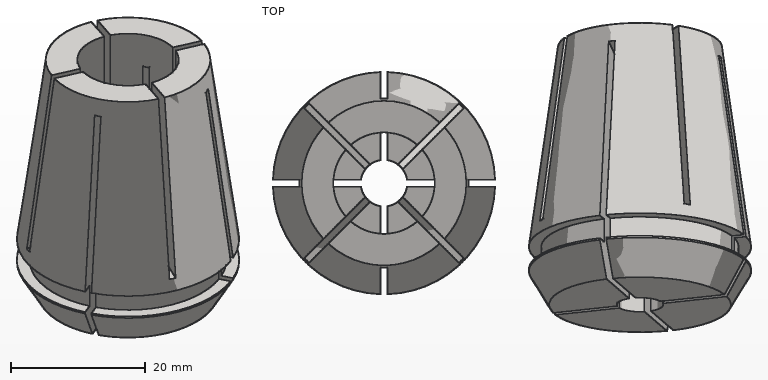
import cadquery as cq
import math

total_height = 40.0
top_radius = 12.2
max_radius = 33.0 / 2
body_bottom = 9.0
groove_radius = 14.65
groove_bottom = 5.5
rim_bottom = 5.2
nose_radius = 13.5

bore_radius = 3.45
relief_radius = 7.5
relief_bottom = 20.0

slot_width = 1.0
slots_per_side = 4
blade_radius = 20.0
lower_slot_end = 37.3
lower_blade_offset = 19.6
upper_slot_end = 11.0
upper_blade_offset = 19.2


def body_radius_at(height):
    """Radius of the tapered body at a given height."""
    share = (height - body_bottom) / (total_height - body_bottom)
    return max_radius + share * (top_radius - max_radius)


def make_body():
    """Turned collet body with its stepped bore."""
    return (
        cq.Workplane("XZ")
        .moveTo(bore_radius, 0)
        .lineTo(nose_radius, 0)
        .lineTo(max_radius, rim_bottom)
        .lineTo(max_radius, groove_bottom)
        .lineTo(groove_radius, groove_bottom)
        .lineTo(groove_radius, body_bottom)
        .lineTo(max_radius, body_bottom)
        .lineTo(top_radius, total_height)
        .lineTo(relief_radius, total_height)
        .lineTo(relief_radius, relief_bottom)
        .lineTo(bore_radius, relief_bottom)
        .close()
        .revolve(360, (0, 0, 0), (0, 1, 0))
    )


def make_slot(end_height, open_height, blade_offset):
    """Radial slot along +X, from open_height to a blade arc meeting the taper at end_height."""
    toward_end = math.copysign(1, end_height - open_height)

    def blade_rise(radius):
        return math.sqrt(blade_radius**2 - (blade_offset - radius) ** 2)

    blade_height = end_height - toward_end * blade_rise(body_radius_at(end_height))

    def arc_point(radius):
        return (radius, blade_height + toward_end * blade_rise(radius))

    return (
        cq.Workplane("XZ")
        .moveTo(0, open_height)
        .lineTo(blade_offset, open_height)
        .lineTo(*arc_point(blade_offset))
        .threePointArc(arc_point(blade_offset / 2), arc_point(0))
        .close()
        .extrude(slot_width / 2, both=True)
    )


lower_slot = make_slot(lower_slot_end, 0, lower_blade_offset)
upper_slot = make_slot(upper_slot_end, total_height, upper_blade_offset)
slot_pitch = 360 / slots_per_side

result = make_body()
for index in range(slots_per_side):
    lower_angle = index * slot_pitch
    upper_angle = lower_angle + slot_pitch / 2
    result = result.cut(lower_slot.rotate((0, 0, 0), (0, 0, 1), lower_angle))
    result = result.cut(upper_slot.rotate((0, 0, 0), (0, 0, 1), upper_angle))